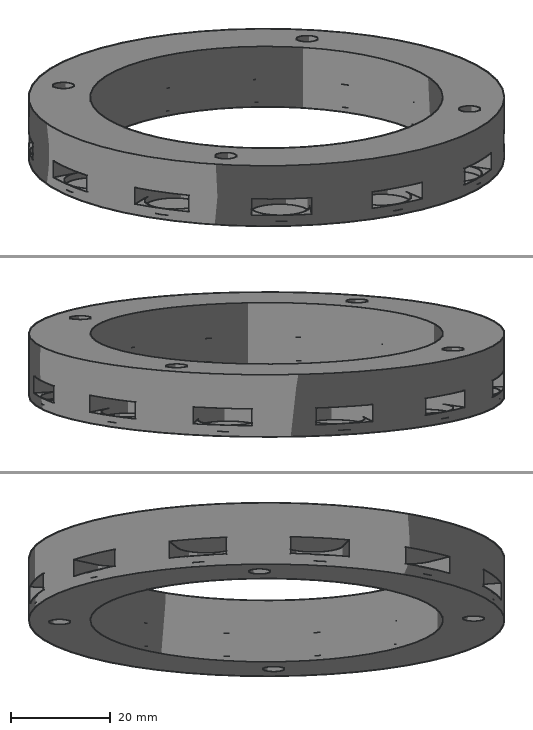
import cadquery as cq

outer_diameter = 95.25
inner_diameter = 70.6
height = 12.7

pocket_count = 12
pocket_diameter = 12.0
recess_floor = 1.0
slot_floor = 2.3
slot_top = 5.7

screw_count = 4
screw_diameter = 4.3
first_screw_angle = 45.0

outer_radius = outer_diameter / 2
inner_radius = inner_diameter / 2
pocket_circle_radius = (outer_radius + inner_radius) / 2


def make_ring():
    return cq.Workplane("XY").circle(outer_radius).circle(inner_radius).extrude(height)


def make_pocket():
    """Round recess with a slot of the same width opening out through the +X side of the rim."""
    recess = (
        cq.Workplane("XY", origin=(pocket_circle_radius, 0, recess_floor))
        .circle(pocket_diameter / 2)
        .extrude(slot_top - recess_floor)
    )
    slot = (
        cq.Workplane("XY", origin=(pocket_circle_radius, 0, slot_floor))
        .rect(pocket_diameter, pocket_diameter)
        .extrude(slot_top - slot_floor)
        .translate((pocket_diameter / 2, 0, 0))
    )
    return recess.union(slot)


def make_screw_holes():
    return (
        cq.Workplane("XY")
        .polarArray(pocket_circle_radius, first_screw_angle, 360, screw_count)
        .circle(screw_diameter / 2)
        .extrude(height)
    )


result = make_ring().cut(make_screw_holes())
pocket = make_pocket()
for index in range(pocket_count):
    angle = index * 360 / pocket_count
    result = result.cut(pocket.rotate((0, 0, 0), (0, 0, 1), angle))